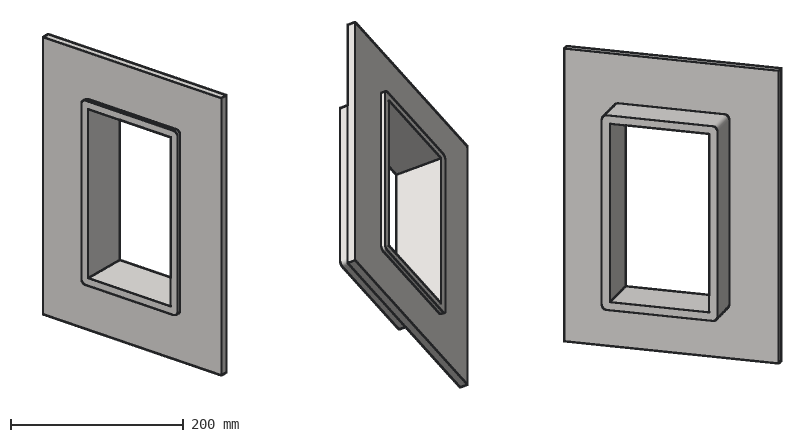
import cadquery as cq

opening_width = 120.5
opening_height = 218.0

sleeve_wall = 10.0
sleeve_depth = 60.0
sleeve_corner_radius = 6.0
sleeve_width = opening_width + 2 * sleeve_wall
sleeve_height = opening_height + 2 * sleeve_wall

flange_margin = 60.0
flange_thickness = 10.0
flange_width = sleeve_width + 2 * flange_margin
flange_height = sleeve_height + 2 * flange_margin

front_projection = 5.0


def centred_block(width, depth, height, front_y):
    """Block centred on X and Z, extending in +Y from front_y."""
    block = cq.Workplane("XY").box(width, depth, height, centered=(True, False, True))
    return block.translate((0, front_y, 0))


def make_flange():
    return centred_block(flange_width, flange_thickness, flange_height, front_projection)


def make_sleeve_body():
    body = centred_block(sleeve_width, sleeve_depth, sleeve_height, 0)
    return body.edges("|Y").fillet(sleeve_corner_radius)


def make_opening():
    return centred_block(opening_width, sleeve_depth, opening_height, 0)


result = make_flange().union(make_sleeve_body()).cut(make_opening())